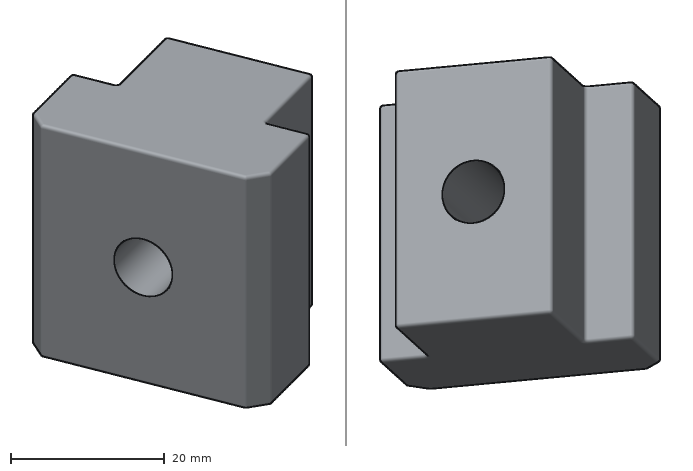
import cadquery as cq

head_width = 34.8
stem_width = 21.5
total_depth = 27.9
head_depth = 13.9
length = 35.0
corner_chamfer = 2.5
edge_radius = 0.5
hole_diameter = 8.5

half_head = head_width / 2
half_stem = stem_width / 2
front_y = -total_depth / 2
back_y = total_depth / 2
shoulder_y = front_y + head_depth


def make_body():
    """T-shaped prism with bevelled front corners and every edge rounded."""
    profile = [
        (-half_head + corner_chamfer, front_y),
        (half_head - corner_chamfer, front_y),
        (half_head, front_y + corner_chamfer),
        (half_head, shoulder_y),
        (half_stem, shoulder_y),
        (half_stem, back_y),
        (-half_stem, back_y),
        (-half_stem, shoulder_y),
        (-half_head, shoulder_y),
        (-half_head, front_y + corner_chamfer),
    ]
    prism = cq.Workplane("XY").polyline(profile).close().extrude(length / 2, both=True)
    return prism.edges().fillet(edge_radius)


def make_hole():
    """Cylinder along Y that passes through the whole depth at the centre."""
    return cq.Workplane("XZ").circle(hole_diameter / 2).extrude(total_depth, both=True)


result = make_body().cut(make_hole())